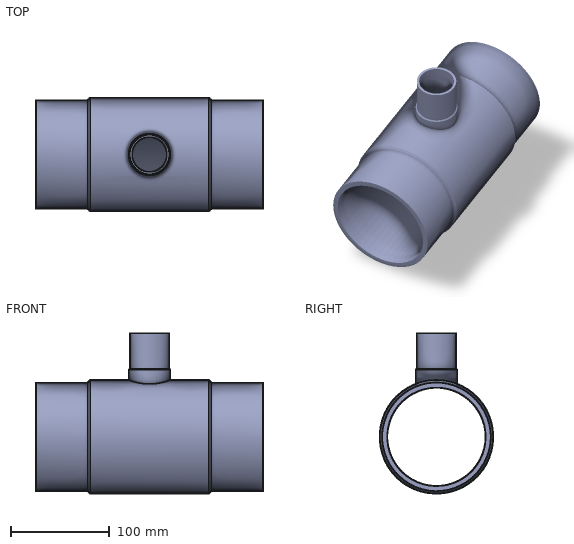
import cadquery as cq

pipe_length = 230.0
pipe_diameter = 110.0
pipe_bore = 99.4

sleeve_length = 125.5
sleeve_diameter = 115.2
sleeve_chamfer = (sleeve_diameter - pipe_diameter) / 2

overall_height = 162.5
branch_top = overall_height - sleeve_diameter / 2
branch_diameter = 40.0
branch_bore = 35.2

collar_top = 69.0
collar_diameter = 42.3
collar_chamfer = (collar_diameter - branch_diameter) / 2


def cylinder_along_x(diameter, length):
    """Solid cylinder on the X axis, centred on the origin."""
    return cq.Workplane("YZ", origin=(-length / 2, 0, 0)).circle(diameter / 2).extrude(length)


def cylinder_up(diameter, top):
    """Solid cylinder on the Z axis, from the origin up to the given height."""
    return cq.Workplane("XY").circle(diameter / 2).extrude(top)


pipe = cylinder_along_x(pipe_diameter, pipe_length)
sleeve = cylinder_along_x(sleeve_diameter, sleeve_length).faces("<X or >X").chamfer(sleeve_chamfer)
branch = cylinder_up(branch_diameter, branch_top)
collar = cylinder_up(collar_diameter, collar_top).faces(">Z").chamfer(collar_chamfer)

result = (
    pipe.union(sleeve)
    .union(collar)
    .union(branch)
    .cut(cylinder_along_x(pipe_bore, pipe_length))
    .cut(cylinder_up(branch_bore, branch_top))
)